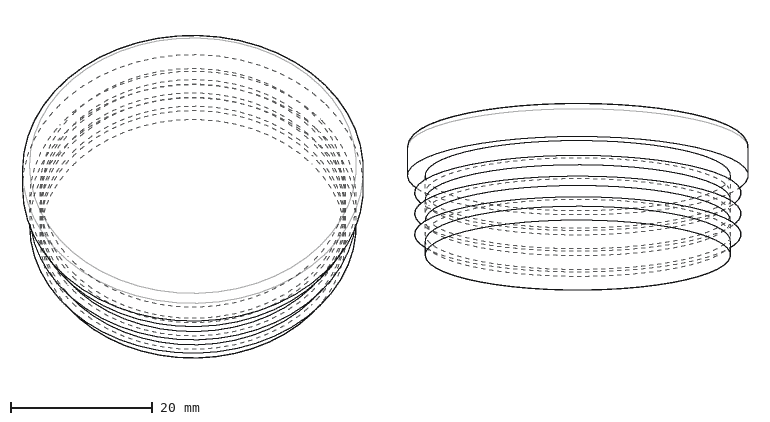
import cadquery as cq

head_diameter = 48.0
head_height = 5.0
head_edge_radius = 1.0

plug_diameter = 43.0
plug_height = 11.5

fin_diameter = 46.0
fin_height = 1.0
fin_count = 3
fin_pitch = 3.0
first_fin_depth = 2.5


def make_head():
    """Disc above Z = 0 with a rounded upper rim."""
    disc = cq.Workplane("XY").circle(head_diameter / 2).extrude(head_height)
    return disc.faces(">Z").edges().fillet(head_edge_radius)


def make_plug():
    """Cylinder hanging below the head."""
    return cq.Workplane("XY").circle(plug_diameter / 2).extrude(-plug_height)


def make_fin(top_z):
    """Ring with a flat top and a conical underside tapering in to the plug."""
    plug_radius = plug_diameter / 2
    profile = (
        cq.Workplane("XZ")
        .moveTo(0, top_z)
        .lineTo(fin_diameter / 2, top_z)
        .lineTo(plug_radius, top_z - fin_height)
        .lineTo(0, top_z - fin_height)
        .close()
    )
    return profile.revolve(360, (0, 0, 0), (0, 1, 0))


result = make_head().union(make_plug())
for fin_index in range(fin_count):
    fin_top_z = -first_fin_depth - fin_index * fin_pitch
    result = result.union(make_fin(fin_top_z))